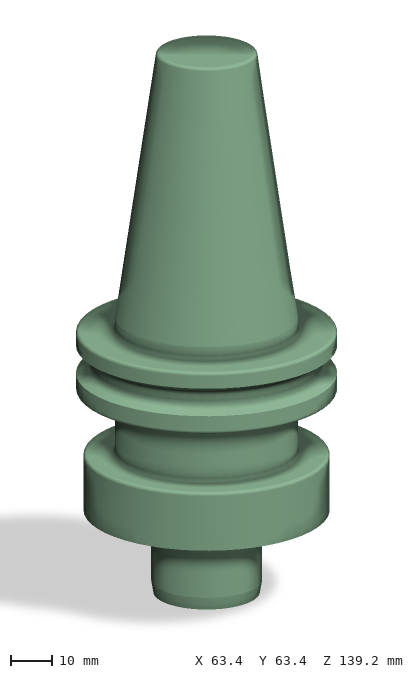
import cadquery as cq

total_height = 139.2

pilot_radius = 13.5
pilot_chamfer_height = 3.2
pilot_chamfer_depth = 0.5

disc_bottom = 21.2
disc_top = 36.0
disc_radius = 30.0
neck_diameter = 44.4
neck_radius = neck_diameter / 2
fillet_radius = 1.0
edge_rounding = 0.8

flange_bottom = 51.8
flange_top = 67.7
flange_radius = 31.7
groove_center = 60.0
groove_radius = 28.2
groove_mouth_width = 7.1
groove_floor_width = 3.0
groove_fillet = 1.0

gauge_height = 70.9
taper_slope = 7 / 48
taper_top_radius = neck_radius - taper_slope * (total_height - gauge_height)


def make_cylinder(radius, bottom, top):
    """Cylinder about Z between two heights."""
    return cq.Workplane("XY").workplane(offset=bottom).circle(radius).extrude(top - bottom)


def make_pilot():
    pilot = make_cylinder(pilot_radius, 0, disc_bottom)
    return pilot.faces("<Z").chamfer(pilot_chamfer_height, pilot_chamfer_depth)


def make_disc():
    return make_cylinder(disc_radius, disc_bottom, disc_top).faces(">Z").edges().fillet(edge_rounding)


def make_flange():
    flange = make_cylinder(flange_radius, flange_bottom, flange_top)
    flange = flange.faces("<Z or >Z").edges().fillet(edge_rounding)
    groove = (
        cq.Workplane("XZ")
        .moveTo(flange_radius, groove_center - groove_mouth_width / 2)
        .lineTo(groove_radius, groove_center - groove_floor_width / 2)
        .lineTo(groove_radius, groove_center + groove_floor_width / 2)
        .lineTo(flange_radius, groove_center + groove_mouth_width / 2)
        .close()
        .revolve(360, (0, 0, 0), (0, 1, 0))
    )
    floor_edges = cq.selectors.RadiusNthSelector(0)
    return flange.cut(groove.edges(floor_edges).fillet(groove_fillet))


def make_taper():
    taper = (
        cq.Workplane("XZ")
        .moveTo(0, gauge_height)
        .lineTo(neck_radius, gauge_height)
        .lineTo(taper_top_radius, total_height)
        .lineTo(0, total_height)
        .close()
        .revolve(360, (0, 0, 0), (0, 1, 0))
    )
    return taper.faces(">Z").edges().fillet(edge_rounding)


def make_corner_ring(height, direction):
    """Concave fillet between the neck surface and a face; direction is +1 above it, -1 below it."""
    outer_radius = neck_radius + fillet_radius
    far_height = height + direction * fillet_radius
    arc_reach = fillet_radius * 0.5 ** 0.5
    return (
        cq.Workplane("XZ")
        .moveTo(neck_radius, height)
        .lineTo(outer_radius, height)
        .threePointArc(
            (outer_radius - arc_reach, far_height - direction * arc_reach),
            (neck_radius, far_height),
        )
        .close()
        .revolve(360, (0, 0, 0), (0, 1, 0))
    )


result = (
    make_pilot()
    .union(make_disc())
    .union(make_cylinder(neck_radius, disc_top, gauge_height))
    .union(make_flange())
    .union(make_taper())
)
for face_height, side in ((disc_top, 1), (flange_bottom, -1), (flange_top, 1)):
    result = result.union(make_corner_ring(face_height, side))